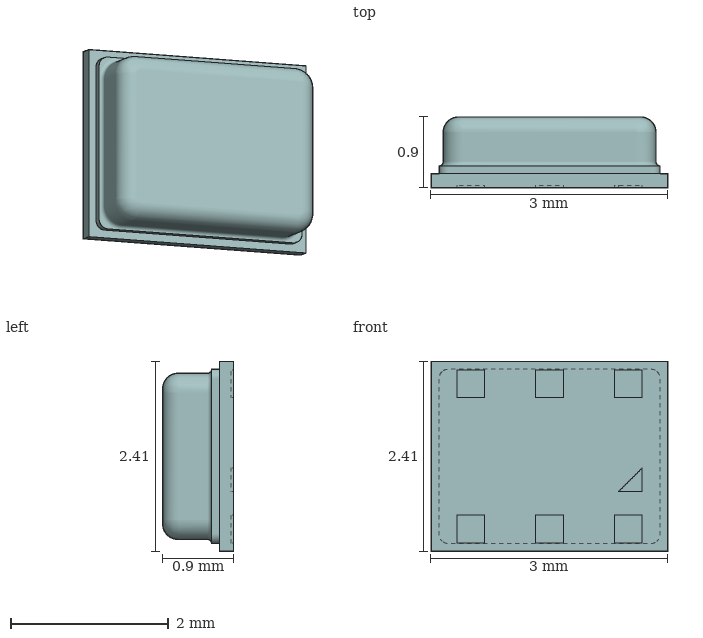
import cadquery as cq

board_length = 3.0
board_width = 2.41
board_thickness = 0.18

overall_depth = 0.9
flange_margin = 0.1
flange_thickness = 0.1
flange_corner_radius = 0.12
flange_ledge = 0.05
can_corner_radius = 0.245
can_top_radius = 0.198
can_root_radius = 0.05

pad_size = 0.35
pad_depth = 0.03
pad_pitch_x = 1.0
pad_row_offset = 0.92
pad_columns = (-1, 0, 1)
pad_rows = (-1, 1)

mark_leg = 0.3
mark_depth = 0.03
mark_right = pad_pitch_x + pad_size / 2
mark_bottom = -0.447

flange_length = board_length - 2 * flange_margin
flange_width = board_width - 2 * flange_margin
can_length = flange_length - 2 * flange_ledge
can_width = flange_width - 2 * flange_ledge
flange_top = board_thickness + flange_thickness

pad_centers = [(column * pad_pitch_x, row * pad_row_offset) for column in pad_columns for row in pad_rows]


def plane_at(y):
    """XZ sketch plane at the given y whose normal points along +Y; local x is -X, local y is +Z."""
    return cq.Workplane(cq.Plane(origin=(0, y, 0), xDir=(-1, 0, 0), normal=(0, 1, 0)))


def plate(length, width, y_start, y_end):
    """Rectangular plate centred on the Y axis, spanning y_start to y_end."""
    return plane_at(y_start).rect(length, width).extrude(y_end - y_start)


def make_pad(x, z):
    """One square contact pad, sunk flush into the board."""
    return plate(pad_size, pad_size, 0, pad_depth).translate((x, 0, z))


def make_mark():
    """Triangular prism that cuts the orientation mark."""
    corner = (-mark_right, mark_bottom)
    left_tip = (-mark_right + mark_leg, mark_bottom)
    top_tip = (-mark_right, mark_bottom + mark_leg)
    return plane_at(0).polyline([corner, left_tip, top_tip]).close().extrude(mark_depth)


def make_board(pads):
    """Board with the orientation mark and one recess for each pad."""
    body = plate(board_length, board_width, 0, board_thickness).cut(make_mark())
    for pad in pads:
        body = body.cut(pad)
    return body


def make_cover():
    """Flange and can joined by a concave blend that ends at the flange rim, with a rounded can top."""
    can = plate(can_length, can_width, board_thickness, overall_depth)
    can = can.edges("|Y").fillet(can_corner_radius)
    can = can.faces(">Y").edges().fillet(can_top_radius)
    base = plate(board_length, board_width, board_thickness, flange_top)
    root_zone = cq.selectors.BoxSelector(
        (-flange_length / 2, board_thickness + flange_thickness / 2, -flange_width / 2),
        (flange_length / 2, flange_top + can_root_radius, flange_width / 2),
        boundingbox=True,
    )
    blended = base.union(can).edges(root_zone).fillet(can_root_radius)
    flange_column = plate(flange_length, flange_width, board_thickness, overall_depth)
    flange_column = flange_column.edges("|Y").fillet(flange_corner_radius)
    return blended.intersect(flange_column)


pads = [make_pad(x, z) for x, z in pad_centers]
board = make_board(pads).solids()
cover = make_cover().solids()

result = cq.Compound.makeCompound([board.val(), cover.val(), *[pad.val() for pad in pads]])